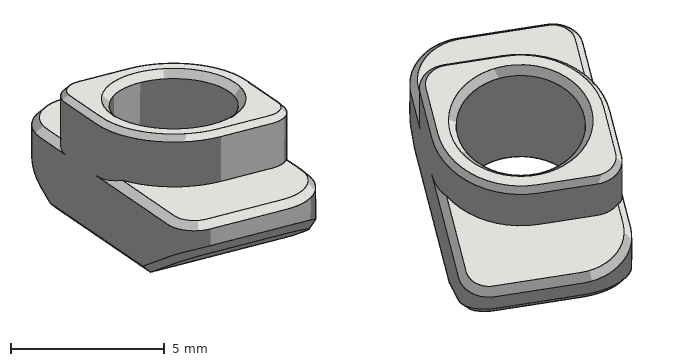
import cadquery as cq

length = 10.9
width = 5.9
height = 4.4
base_height = 2.6

slope_top = 1.5
foot_half_length = width / 2

small_radius = 1.0
base_large_radius = 2.0
corner_clearance = 0.001
collar_large_radius = width / 2 - corner_clearance

bore_diameter = 4.2
base_chamfer = 0.25
collar_chamfer = 0.2
bore_chamfer = 0.25


rising_diagonal = ((-1, -1), (1, 1))
falling_diagonal = ((-1, 1), (1, -1))


def diagonal_block(size_x, bottom, top, large_corners, large_radius):
    """Block with large_radius on one pair of opposite corners and small_radius on the other."""
    block = cq.Workplane("XY").workplane(offset=bottom).rect(size_x, width).extrude(top - bottom)
    for x_side, y_side in rising_diagonal + falling_diagonal:
        is_large = (x_side, y_side) in large_corners
        radius = large_radius if is_large else small_radius
        corner = (x_side * size_x / 2, y_side * width / 2, (bottom + top) / 2)
        block = block.edges(cq.selectors.NearestToPointSelector(corner)).fillet(radius)
    return block


def make_base():
    """Wide head with a sloped underside and broken edges."""
    plan = diagonal_block(length, 0, base_height, rising_diagonal, base_large_radius)
    side_profile = (
        cq.Workplane("XZ")
        .polyline([
            (-foot_half_length, 0),
            (foot_half_length, 0),
            (length / 2, slope_top),
            (length / 2, base_height),
            (-length / 2, base_height),
            (-length / 2, slope_top),
        ])
        .close()
        .extrude(width / 2, both=True)
    )
    base = plan.intersect(side_profile)
    lower_edges = base.faces("<Z").edges("|X")
    for x_side in (-1, 1):
        slope_center = (x_side * (foot_half_length + length / 2) / 2, 0, slope_top / 2)
        slope_face = base.faces(cq.selectors.NearestToPointSelector(slope_center))
        lower_edges = lower_edges.add(slope_face.edges("not(|Y and <Z)"))
    base = base.newObject(lower_edges.vals()).chamfer(base_chamfer)
    return base.faces(">Z").edges().chamfer(base_chamfer)


def make_collar():
    """Raised collar with its large corners on the opposite diagonal, set into the base."""
    collar = diagonal_block(
        width, base_height - base_chamfer, height, falling_diagonal, collar_large_radius
    )
    return collar.faces(">Z").edges().chamfer(collar_chamfer)


def make_bore():
    """Through hole with a countersunk mouth at the top."""
    hole = cq.Workplane("XY").circle(bore_diameter / 2).extrude(height)
    mouth = (
        cq.Workplane("XY")
        .workplane(offset=height)
        .circle(bore_diameter / 2 + bore_chamfer)
        .workplane(offset=-bore_chamfer)
        .circle(bore_diameter / 2)
        .loft()
    )
    return hole.union(mouth)


result = make_base().union(make_collar()).cut(make_bore())